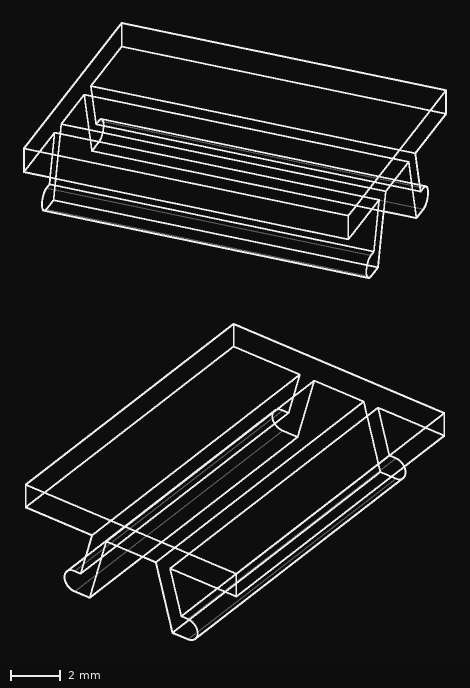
import cadquery as cq

length = 14.0
width = 10.5
height = 4.2
plate_thickness = 1.1

root_inner = 1.23
root_outer = 1.95
foot_inner = 2.06
hook_reach = 3.32
hook_height = 1.0

hook_radius = hook_height / 2
hook_centre = hook_reach - hook_radius
leg_drop = height - plate_thickness
lean = (foot_inner - root_inner) / leg_drop
hook_inner = root_outer + lean * (leg_drop - hook_height)


def make_plate():
    """Flat rectangular plate with its top at the full height."""
    plate = cq.Workplane("XY").box(length, width, plate_thickness, centered=(True, True, False))
    return plate.translate((0, 0, leg_drop))


def make_leg():
    """Slanted leg on the +Y side, ending in a rounded outward hook."""
    overlap = plate_thickness / 2
    root_top = leg_drop + overlap
    shift = lean * overlap
    return (
        cq.Workplane("YZ")
        .moveTo(root_inner - shift, root_top)
        .lineTo(foot_inner, 0)
        .lineTo(hook_centre, 0)
        .threePointArc((hook_reach, hook_radius), (hook_centre, hook_height))
        .lineTo(hook_inner, hook_height)
        .lineTo(root_outer - shift, root_top)
        .close()
        .extrude(length / 2, both=True)
    )


leg = make_leg()
result = make_plate().union(leg).union(leg.mirror("XZ"))